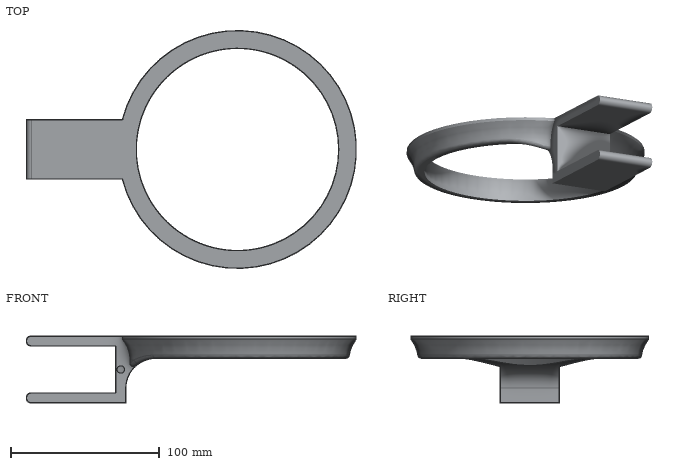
import cadquery as cq
import math

total_length = 222.0
total_height = 45.0

bore_radius = 68.0
rim_radius = 80.0
rim_height = 2.0
neck_radius = 75.0
flare_bottom_z = -16.0
ring_height = 15.0
ring_edge_fillet = 2.5
ring_center_x = total_length - rim_radius

clamp_width = 40.0
prong_thickness = 6.75
wall_outer_x = 67.0
wall_thickness = 7.0
wall_inner_x = wall_outer_x - wall_thickness
pin_hole_diameter = 5.0
pin_hole_depth = 1.0
underside_radius = 20.0


def underside_outline():
    """Region in XZ above the underside: clamp wall, concave sweep, flat ring bottom."""
    sweep_center_x = wall_outer_x + underside_radius
    sweep_center_z = -ring_height - underside_radius
    sweep_mid = (
        sweep_center_x - underside_radius * math.cos(math.pi / 4),
        sweep_center_z + underside_radius * math.sin(math.pi / 4),
    )
    return (
        cq.Workplane("XZ")
        .moveTo(0, 0)
        .lineTo(0, -total_height)
        .lineTo(wall_outer_x, -total_height)
        .lineTo(wall_outer_x, sweep_center_z)
        .threePointArc(sweep_mid, (sweep_center_x, -ring_height))
        .lineTo(total_length, -ring_height)
        .lineTo(total_length, 0)
        .close()
    )


def flared_disc():
    """Solid disc with a vertical rim, a concave flare and a cylindrical neck."""
    rim_z = -rim_height
    flare_rise = rim_z - flare_bottom_z
    flare_width = rim_radius - neck_radius
    flare_radius = (flare_rise**2 + flare_width**2) / (2 * flare_width)
    half_angle = math.asin(flare_rise / flare_radius) / 2
    flare_mid = (
        neck_radius + flare_radius * (1 - math.cos(half_angle)),
        flare_bottom_z + flare_radius * math.sin(half_angle),
    )
    profile = (
        cq.Workplane("XZ")
        .moveTo(0, 0)
        .lineTo(rim_radius, 0)
        .lineTo(rim_radius, rim_z)
        .threePointArc(flare_mid, (neck_radius, flare_bottom_z))
        .lineTo(neck_radius, -total_height)
        .lineTo(0, -total_height)
        .close()
    )
    return profile.revolve(360, (0, 0, 0), (0, 1, 0)).translate((ring_center_x, 0, 0))


def clamp_block():
    """Full-height block reaching from the prong tips to the middle of the ring."""
    return (
        cq.Workplane("XY")
        .box(ring_center_x, clamp_width, total_height, centered=(False, True, False))
        .translate((0, 0, -total_height))
    )


def outer_body():
    """Disc and block trimmed to the underside, with the lower ring edge rounded."""
    trim = underside_outline().extrude(2 * rim_radius, both=True)
    body = flared_disc().union(clamp_block()).intersect(trim)
    ring_bottom_center = (ring_center_x, 0, -ring_height)
    ring_bottom = body.faces(cq.selectors.NearestToPointSelector(ring_bottom_center))
    return ring_bottom.edges("%CIRCLE").fillet(ring_edge_fillet)


def ring_bore():
    """Through hole of the ring."""
    return (
        cq.Workplane("XY")
        .center(ring_center_x, 0)
        .circle(bore_radius)
        .extrude(-total_height)
    )


def clamp_slot():
    """Rectangular gap between the two prongs, open towards -X."""
    slot_height = total_height - 2 * prong_thickness
    return (
        cq.Workplane("XY")
        .box(wall_inner_x, clamp_width, slot_height, centered=(False, True, True))
        .translate((0, 0, -total_height / 2))
    )


def prong_tip_waste(prong_center_z):
    """Material to remove so that one prong ends in a full round."""
    tip_radius = prong_thickness / 2
    square_end = cq.Workplane("XY").box(
        tip_radius, clamp_width, prong_thickness, centered=(False, True, True)
    )
    round_end = (
        cq.Workplane("XZ")
        .center(tip_radius, 0)
        .circle(tip_radius)
        .extrude(clamp_width / 2, both=True)
    )
    return square_end.cut(round_end).translate((0, 0, prong_center_z))


def pin_hole():
    """Shallow blind hole in the -Y side of the clamp wall."""
    return (
        cq.Workplane("XZ", origin=(0, -clamp_width / 2, 0))
        .center(wall_outer_x - wall_thickness / 2, -total_height / 2)
        .circle(pin_hole_diameter / 2)
        .extrude(-pin_hole_depth)
    )


result = outer_body().cut(ring_bore()).cut(clamp_slot()).cut(pin_hole())
for prong_z in (-prong_thickness / 2, prong_thickness / 2 - total_height):
    result = result.cut(prong_tip_waste(prong_z))